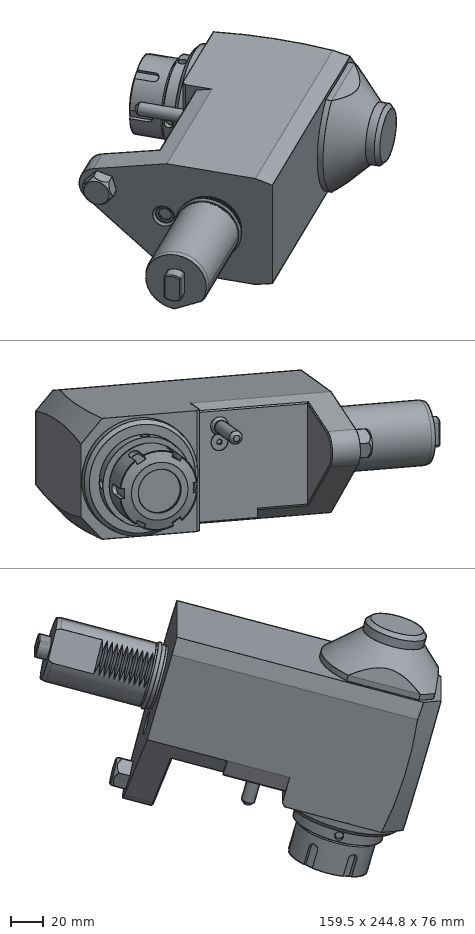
import cadquery as cq
import math

HALF_HEIGHT = 38.0
BODY_BACK = 167.0
BODY_RIGHT = 39.2
HEAD_LEFT = -47.3
HEAD_FRONT = 90.2
SPINDLE_Y = 130.0

EDGE_TAPER_START = 28.5
EDGE_TAPER_DROP = 2.7
SHOULDER_X = -28.2
HEAD_CHAMFER = 2.2

WALL_X = -38.7
FOOT_THICKNESS = 18.5
UNDERCUT_BACK = 50.7
POCKET_CHAMFER = 0.7
LUG_X, LUG_Z, LUG_RADIUS = -72.0, 13.7, 12.2

BEVEL_ANGLE = 42.2
BEVEL_Y = 157.3
BEVEL_CENTER_X = -4.0
BEVEL_RADIUS = 333.2

SHANK_RADIUS = 20.0
SHANK_LENGTH = 70.0
SHANK_CHAMFER = 2.7
SHANK_END_RADIUS = 19.4
NECK_RADIUS = 19.5
NECK_LENGTH = 1.5
RING_START, RING_END, RING_RADIUS = 4.0, 6.4, 21.0
GROOVE_END, GROOVE_RADIUS = 7.5, 19.4
SERRATION_ANGLE = -63.4
SERRATION_ROOT = 17.0
SERRATION_PITCH = 3.2
SERRATION_COUNT = 10
TANG_LENGTH, TANG_THICKNESS, TANG_HEIGHT = 7.8, 10.8, 18.5
TANG_CORNER_RADIUS, TANG_END_CHAMFER = 1.5, 0.7

FLANGE_X, FLANGE_RADIUS, FLANGE_CHAMFER = -54.6, 36.5, 2.5
FLANGE_NECK_RADIUS = 24.5
COLLAR_START, COLLAR_END, COLLAR_RADIUS = -55.9, -63.2, 28.2
COLLAR_HOLE_RADIUS, COLLAR_HOLE_DEPTH, COLLAR_HOLE_COUNT = 2.7, 3.7, 4
NUT_NECK_RADIUS = 22.0
NUT_START, NUT_END, NUT_RADIUS = -64.7, -87.7, 25.0
NUT_CHAMFER, NUT_CONE_LENGTH = 0.7, 2.2
NUT_SHOULDER_RADIUS, NUT_FACE_RADIUS = 24.5, 18.1
NUT_BORE_RADIUS, NUT_BORE_DEPTH = 13.7, 2.0
SLOT_COUNT, SLOT_WIDTH, SLOT_END_X, SLOT_FLOOR_RADIUS = 6, 6.1, -70.8, 22.0

CAP_RADIUS, CAP_RIM_END = 40.0, 42.9
TIP_RADIUS, TIP_END, TIP_CHAMFER = 19.4, 71.8, 2.7
CAP_BACK_HALF, CAP_SIDE_HALF = 32.0, 32.8
CAP_SIDE_ANGLE = 15.0

BOLT_X, BOLT_Z = -70.0, 15.0
BOLT_CORNER_RADIUS, BOLT_HEIGHT, BOLT_ANGLE = 10.0, 9.8, 46.0
BOLT_END_RADIUS, BOLT_CHAMFER = 8.0, 3.0
PIN_Y, PIN_Z, PIN_RADIUS = 75.2, 25.0, 4.2
PIN_END, PIN_SHOULDER, PIN_CHAMFER = -71.8, -41.5, 2.2
PIN_NECK_RADIUS, PIN_COLLAR_RADIUS = 3.7, 5.6
PLUG_Z, PLUG_RADIUS, PLUG_HEIGHT = 15.0, 5.5, 0.2
PLUG_SOCKET_RADIUS, PLUG_SOCKET_DEPTH = 1.7, 1.5
PORT_X = -30.1
PORT_RIM_RADIUS, PORT_RADIUS, PORT_SEAT_RADIUS = 7.0, 5.6, 4.2
PORT_SEAT_DEPTH, PORT_DEPTH = 2.2, 3.7

MARGIN = 12.2


def along_y(y_from, y_to):
    """Workplane for sketching (X, Z) outlines, with the matching extrusion length."""
    return cq.Workplane("XZ", origin=(0, y_from, 0)), -(y_to - y_from)


def prism(points, y_from, y_to):
    plane, length = along_y(y_from, y_to)
    return plane.polyline(points).close().extrude(length)


def turned_x(points, y=SPINDLE_Y, z=0.0):
    """Revolve a profile of (x, radius) points about an axis parallel to X."""
    profile = cq.Workplane("XY", origin=(0, y, z)).polyline(points).close()
    return profile.revolve(360, (0, 0, 0), (1, 0, 0))


def tangent_point(side):
    """Point where a line from the upper (+1) or lower (-1) shoulder touches the lug circle."""
    dx = LUG_X - SHOULDER_X
    dz = LUG_Z - side * HALF_HEIGHT
    distance = math.hypot(dx, dz)
    length = math.sqrt(distance**2 - LUG_RADIUS**2)
    heading = math.atan2(dz, dx) - side * math.asin(LUG_RADIUS / distance)
    return SHOULDER_X + length * math.cos(heading), side * HALF_HEIGHT + length * math.sin(heading)


def right_edge():
    """Tapered right side of the body section, listed from bottom to top."""
    edge_z = HALF_HEIGHT - EDGE_TAPER_DROP
    return [
        (EDGE_TAPER_START, -HALF_HEIGHT),
        (BODY_RIGHT, -edge_z),
        (BODY_RIGHT, edge_z),
        (EDGE_TAPER_START, HALF_HEIGHT),
    ]


def make_head():
    outline = right_edge() + [(HEAD_LEFT, HALF_HEIGHT), (HEAD_LEFT, -HALF_HEIGHT)]
    head = prism(outline, HEAD_FRONT, BODY_BACK)
    return head.faces("<X").edges("<Y").chamfer(HEAD_CHAMFER)


def make_arm():
    """Arm carrying the lug, with the pocket behind the lug cut away."""
    upper = tangent_point(1)
    lower = tangent_point(-1)
    plane, length = along_y(0, UNDERCUT_BACK)
    front_outline = [lower, (SHOULDER_X, -HALF_HEIGHT)] + right_edge()
    front_outline += [(SHOULDER_X, HALF_HEIGHT), upper]
    front = (
        plane.polyline(front_outline)
        .threePointArc((LUG_X - LUG_RADIUS, LUG_Z), lower)
        .close()
        .extrude(length)
    )
    slope = (HALF_HEIGHT - upper[1]) / (SHOULDER_X - upper[0])
    wall_z = HALF_HEIGHT - slope * (SHOULDER_X - WALL_X)
    rear_outline = [(WALL_X, -wall_z), (SHOULDER_X, -HALF_HEIGHT)] + right_edge()
    rear_outline += [(SHOULDER_X, HALF_HEIGHT), (WALL_X, wall_z)]
    rear = prism(rear_outline, UNDERCUT_BACK, HEAD_FRONT)
    pocket_left = LUG_X - LUG_RADIUS - MARGIN
    pocket_outline = [
        (pocket_left, -HALF_HEIGHT),
        (WALL_X, -HALF_HEIGHT),
        (WALL_X, HALF_HEIGHT),
        (pocket_left, HALF_HEIGHT),
    ]
    pocket = prism(pocket_outline, FOOT_THICKNESS, UNDERCUT_BACK)
    arm = front.cut(pocket).union(rear)
    return bevel_pocket_rim(arm)


def bevel_pocket_rim(arm):
    """Bevel the upper and lower rims of the pocket wall and the rim of the lug's inner face."""
    wall_probe = (WALL_X, (UNDERCUT_BACK + HEAD_FRONT) / 2, 0)
    wall_rims = arm.faces(cq.NearestToPointSelector(wall_probe)).edges("|Y")
    lug_rim = arm.faces(">Y[1]").edges("not |Z")
    return wall_rims.add(lug_rim).chamfer(POCKET_CHAMFER)


def cut_back_bevels(body):
    angle = math.radians(BEVEL_ANGLE)
    normal = cq.Vector(0, -math.sin(angle), math.cos(angle))
    plane = cq.Plane(origin=(BEVEL_CENTER_X, BEVEL_Y, HALF_HEIGHT), xDir=(1, 0, 0), normal=normal)
    reach = BODY_RIGHT - HEAD_LEFT
    sag = BEVEL_RADIUS - math.sqrt(BEVEL_RADIUS**2 - reach**2)
    upper = (
        cq.Workplane(plane)
        .moveTo(-reach, -sag)
        .threePointArc((0, 0), (reach, -sag))
        .lineTo(reach, MARGIN)
        .lineTo(-reach, MARGIN)
        .close()
        .extrude(HALF_HEIGHT, both=True)
    )
    return body.cut(upper).cut(upper.mirror("XY"))


def make_shank():
    ring_y = -(RING_START + RING_END) / 2
    shank = (
        cq.Workplane("XY")
        .lineTo(NECK_RADIUS, 0)
        .lineTo(NECK_RADIUS, -NECK_LENGTH)
        .lineTo(SHANK_RADIUS, -NECK_LENGTH)
        .lineTo(SHANK_RADIUS, -RING_START)
        .threePointArc((RING_RADIUS, ring_y), (SHANK_RADIUS, -RING_END))
        .lineTo(GROOVE_RADIUS, -RING_END)
        .lineTo(GROOVE_RADIUS, -GROOVE_END)
        .lineTo(SHANK_RADIUS, -GROOVE_END)
        .lineTo(SHANK_RADIUS, SHANK_CHAMFER - SHANK_LENGTH)
        .lineTo(SHANK_END_RADIUS, -SHANK_LENGTH)
        .lineTo(0, -SHANK_LENGTH)
        .close()
        .revolve(360, (0, 0, 0), (0, 1, 0))
    )
    return shank.cut(make_serration_cutter())


def make_serration_cutter():
    """Flat along the shank, interrupted by a row of pointed teeth near the body."""
    outer = SHANK_RADIUS + MARGIN
    points = [(outer, -GROOVE_END)]
    for tooth in range(SERRATION_COUNT):
        start = -GROOVE_END - tooth * SERRATION_PITCH
        points.append((SHANK_RADIUS, start))
        points.append((SERRATION_ROOT, start - SERRATION_PITCH / 2))
    last_crest = -GROOVE_END - SERRATION_COUNT * SERRATION_PITCH
    points.append((SHANK_RADIUS, last_crest))
    points.append((SERRATION_ROOT, last_crest - SERRATION_PITCH / 2))
    points.append((SERRATION_ROOT, -SHANK_LENGTH - MARGIN))
    points.append((outer, -SHANK_LENGTH - MARGIN))
    cutter = cq.Workplane("XY").polyline(points).close().extrude(outer, both=True)
    return cutter.rotate((0, 0, 0), (0, 1, 0), -SERRATION_ANGLE)


def make_tang():
    plane, length = along_y(-SHANK_LENGTH, -SHANK_LENGTH - TANG_LENGTH)
    slab = plane.rect(TANG_THICKNESS, TANG_HEIGHT).extrude(length)
    round_bar = plane.circle(TANG_HEIGHT / 2).extrude(length)
    tang = slab.intersect(round_bar).edges("|Y").fillet(TANG_CORNER_RADIUS)
    return tang.faces("<Y").chamfer(TANG_END_CHAMFER)


def make_spindle_nose():
    nose = turned_x([
        (HEAD_LEFT, 0),
        (HEAD_LEFT, FLANGE_RADIUS),
        (FLANGE_X + FLANGE_CHAMFER, FLANGE_RADIUS),
        (FLANGE_X, FLANGE_RADIUS - FLANGE_CHAMFER),
        (FLANGE_X, FLANGE_NECK_RADIUS),
        (COLLAR_START, FLANGE_NECK_RADIUS),
        (COLLAR_START, COLLAR_RADIUS),
        (COLLAR_END, COLLAR_RADIUS),
        (COLLAR_END, NUT_NECK_RADIUS),
        (NUT_START, NUT_NECK_RADIUS),
        (NUT_START, NUT_RADIUS - NUT_CHAMFER),
        (NUT_START - NUT_CHAMFER, NUT_RADIUS),
        (NUT_END + NUT_CONE_LENGTH, NUT_RADIUS),
        (NUT_END + NUT_CONE_LENGTH, NUT_SHOULDER_RADIUS),
        (NUT_END, NUT_FACE_RADIUS),
        (NUT_END, NUT_BORE_RADIUS),
        (NUT_END + NUT_BORE_DEPTH, NUT_BORE_RADIUS),
        (NUT_END + NUT_BORE_DEPTH, 0),
    ])
    for index in range(SLOT_COUNT):
        nose = nose.cut(around_spindle(make_nut_slot(), index * 360 / SLOT_COUNT))
    for index in range(COLLAR_HOLE_COUNT):
        nose = nose.cut(around_spindle(make_collar_hole(), index * 360 / COLLAR_HOLE_COUNT))
    return nose


def around_spindle(tool, angle):
    return tool.rotate((0, SPINDLE_Y, 0), (1, SPINDLE_Y, 0), angle)


def make_nut_slot():
    """Round-ended wrench slot on the back (+Y) side of the nut."""
    half = SLOT_WIDTH / 2
    plane, length = along_y(SPINDLE_Y + SLOT_FLOOR_RADIUS, SPINDLE_Y + NUT_RADIUS + MARGIN)
    return (
        plane.moveTo(NUT_END - MARGIN, -half)
        .lineTo(SLOT_END_X - half, -half)
        .threePointArc((SLOT_END_X, 0), (SLOT_END_X - half, half))
        .lineTo(NUT_END - MARGIN, half)
        .close()
        .extrude(length)
    )


def make_collar_hole():
    middle = (COLLAR_START + COLLAR_END) / 2
    floor = SPINDLE_Y + COLLAR_RADIUS - COLLAR_HOLE_DEPTH
    plane, length = along_y(floor, SPINDLE_Y + COLLAR_RADIUS + MARGIN)
    return plane.center(middle, 0).circle(COLLAR_HOLE_RADIUS).extrude(length)


def make_end_cap():
    """45 degree cone trimmed by a flat at the back and a tilted flat above and below."""
    cone_end = CAP_RIM_END + CAP_RADIUS - TIP_RADIUS
    cap = turned_x([
        (BODY_RIGHT, 0),
        (BODY_RIGHT, CAP_RADIUS),
        (CAP_RIM_END, CAP_RADIUS),
        (cone_end, TIP_RADIUS),
        (TIP_END - TIP_CHAMFER, TIP_RADIUS),
        (TIP_END, TIP_RADIUS - TIP_CHAMFER),
        (TIP_END, 0),
    ])
    tip_half = CAP_SIDE_HALF - (TIP_END - CAP_RIM_END) * math.tan(math.radians(CAP_SIDE_ANGLE))
    envelope = prism(
        [
            (BODY_RIGHT, -CAP_SIDE_HALF),
            (CAP_RIM_END, -CAP_SIDE_HALF),
            (TIP_END, -tip_half),
            (TIP_END, tip_half),
            (CAP_RIM_END, CAP_SIDE_HALF),
            (BODY_RIGHT, CAP_SIDE_HALF),
        ],
        SPINDLE_Y - CAP_RADIUS,
        SPINDLE_Y + CAP_BACK_HALF,
    )
    return cap.intersect(envelope)


def make_bolt():
    plane, length = along_y(0, -BOLT_HEIGHT)
    hexagon = plane.polygon(6, 2 * BOLT_CORNER_RADIUS).extrude(length)
    hexagon = hexagon.rotate((0, 0, 0), (0, 1, 0), -BOLT_ANGLE)
    rounding = (
        cq.Workplane("XY")
        .lineTo(BOLT_CORNER_RADIUS, 0)
        .lineTo(BOLT_CORNER_RADIUS, BOLT_CHAMFER - BOLT_HEIGHT)
        .lineTo(BOLT_END_RADIUS, -BOLT_HEIGHT)
        .lineTo(0, -BOLT_HEIGHT)
        .close()
        .revolve(360, (0, 0, 0), (0, 1, 0))
    )
    return hexagon.intersect(rounding).translate((BOLT_X, 0, BOLT_Z))


def make_pin():
    return turned_x(
        [
            (WALL_X, 0),
            (WALL_X, PIN_COLLAR_RADIUS),
            (PIN_SHOULDER, PIN_NECK_RADIUS),
            (PIN_SHOULDER, PIN_RADIUS),
            (PIN_END + PIN_CHAMFER, PIN_RADIUS),
            (PIN_END, PIN_RADIUS - PIN_CHAMFER),
            (PIN_END, 0),
        ],
        PIN_Y,
        PIN_Z,
    )


def make_plug():
    """Low socketed plug on the pocket wall below the pin."""
    return turned_x(
        [
            (WALL_X, PLUG_SOCKET_RADIUS),
            (WALL_X, PLUG_RADIUS),
            (WALL_X - PLUG_HEIGHT, PLUG_RADIUS),
            (WALL_X - PLUG_HEIGHT, PLUG_SOCKET_RADIUS),
        ],
        PIN_Y,
        PLUG_Z,
    )


def make_plug_socket():
    return turned_x(
        [
            (WALL_X, 0),
            (WALL_X, PLUG_SOCKET_RADIUS),
            (WALL_X + PLUG_SOCKET_DEPTH, PLUG_SOCKET_RADIUS),
            (WALL_X + PLUG_SOCKET_DEPTH, 0),
        ],
        PIN_Y,
        PLUG_Z,
    )


def make_port():
    """Countersunk, stepped port in the front face."""
    countersink = PORT_RIM_RADIUS - PORT_RADIUS
    port = (
        cq.Workplane("XY")
        .lineTo(PORT_RIM_RADIUS, 0)
        .lineTo(PORT_RADIUS, countersink)
        .lineTo(PORT_RADIUS, PORT_SEAT_DEPTH)
        .lineTo(PORT_SEAT_RADIUS, PORT_SEAT_DEPTH)
        .lineTo(PORT_SEAT_RADIUS, PORT_DEPTH)
        .lineTo(0, PORT_DEPTH)
        .close()
        .revolve(360, (0, 0, 0), (0, 1, 0))
    )
    return port.translate((PORT_X, 0, 0))


body = cut_back_bevels(make_head().union(make_arm()))
body = body.cut(make_port()).cut(make_plug_socket())
result = body
for addition in (
    make_shank(),
    make_tang(),
    make_spindle_nose(),
    make_end_cap(),
    make_bolt(),
    make_pin(),
    make_plug(),
):
    result = result.union(addition)